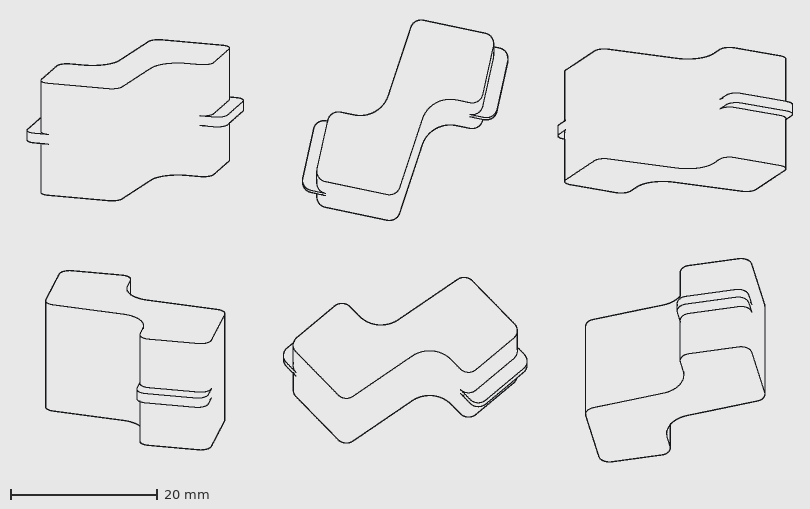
import cadquery as cq

height = 16.0
depth = 25.0
body_width = 20.0
overall_width = 24.0

block_depth = 10.0
neck_end_x = 1.5
neck_inner_x = 3.0
corner_radius = 1.5
neck_radius = 4.0

tab_thickness = 1.4

half_depth = depth / 2
half_body = body_width / 2
half_overall = overall_width / 2
inner_y = half_depth - block_depth


def turned(points):
    """Points turned half a revolution about the Z axis."""
    return [(-x, -y) for x, y in points]


def make_body():
    half_outline = [
        (-half_body, -half_depth),
        (neck_end_x, -half_depth),
        (neck_inner_x, inner_y),
        (half_body, inner_y),
    ]
    body = (
        cq.Workplane("XY")
        .polyline(half_outline + turned(half_outline))
        .close()
        .extrude(height / 2, both=True)
    )
    inside_corners = [(neck_inner_x, inner_y)]
    for x, y in inside_corners + turned(inside_corners):
        body = body.edges(cq.selectors.NearestToPointSelector((x, y, 0))).fillet(neck_radius)
    outer_corners = [
        (-half_body, -half_depth),
        (neck_end_x, -half_depth),
        (half_body, inner_y),
    ]
    for x, y in outer_corners + turned(outer_corners):
        body = body.edges(cq.selectors.NearestToPointSelector((x, y, 0))).fillet(corner_radius)
    return body


def make_tab(side):
    """Rounded plate through one block; side is -1 for the front block, +1 for the rear."""
    buried_x = half_body - 2 * corner_radius
    tab_length = half_overall - buried_x
    center = (side * (half_overall + buried_x) / 2, side * (half_depth + inner_y) / 2)
    outer_edges = "|Z and >X" if side > 0 else "|Z and <X"
    return (
        cq.Workplane("XY")
        .center(*center)
        .rect(tab_length, block_depth)
        .extrude(tab_thickness / 2, both=True)
        .edges(outer_edges)
        .fillet(corner_radius)
    )


result = make_body().union(make_tab(-1)).union(make_tab(1)).clean()